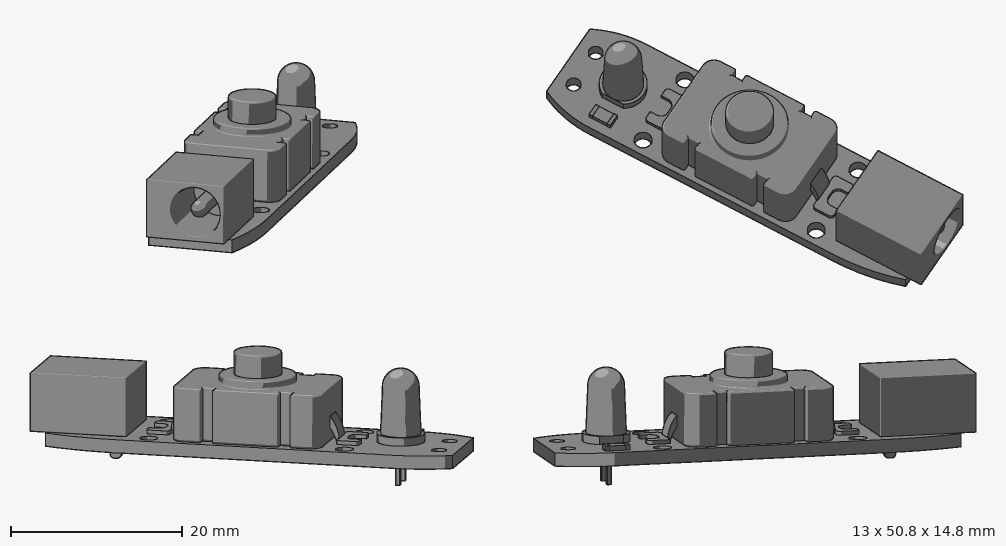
import cadquery as cq
import math


board_width = 13.0
board_thickness = 1.6
rear_y = 25.4
front_y = -23.45
rear_half_width = 4.9
front_half_width = 5.1
rear_taper_length = 6.75
front_taper_length = 9.0
rear_facets = 8
front_facets = 5

strap_hole_diameter = 1.75
strap_hole_x = 2.5
strap_hole_y = 23.15
mount_hole_diameter = 2.1
mount_hole_x = 4.7
mount_hole_ys = (12.4, -11.1)

led_y = 17.95
led_flange_diameter = 5.6
led_flange_bottom = 0.25
led_flange_top = 1.2
led_flat_x = -2.4
led_base_diameter = 4.8
led_dome_diameter = 4.3
led_dome_z = 6.75
lead_width = 0.5
lead_x = 1.2
lead_reach = 3.15

jack_left = -4.8
jack_right = 4.7
jack_front_y = -25.4
jack_length = 11.6
jack_height = 7.0
jack_edge_fillet = 0.1
bore_diameter = 6.0
bore_depth = 9.0
bore_x = 1.2
bore_z = 3.55
contact_diameter = 2.0
contact_recess = 0.6
leg_xs = (-4.05, 1.15, 4.35)
leg_y = -15.15
leg_thickness = 0.6
leg_width = 1.3
leg_reach = 1.05
leg_tip_radius = 0.5

switch_y = 0.75
switch_length = 18.0
switch_width = 11.8
switch_height = 6.4
switch_corner_radius = 1.5
switch_edge_fillet = 0.25
notch_offset = 4.65
notch_width = 1.3
notch_depth = 0.9
notch_lip_radius = 0.25
collar_diameter = 9.0
collar_top = 7.35
collar_fillet = 0.2
button_diameter = 5.6
button_top = 10.05
button_fillet = 0.25

pad_inner = 10.0
pad_length = 2.75
pad_width = 5.05
pad_thickness = 0.45
pad_corner_radius = 0.45
slot_width = 2.5
slot_depth = 1.85
slot_corner_radius = 0.9
arm_width = 2.5
arm_top = 3.05
arm_underside = 1.65
arm_bend_radius = 5.0
arm_foot_length = 0.3
arm_overlap = 0.1

chip_x = -4.5
chip_width = 1.6
chip_length = 2.9
chip_height = 0.6
cap_length = 0.45
cap_overhang = 0.025


def taper_points(taper_length, end_half_width, end_y, facets):
    """Facet corners from the straight side to the end, on an arc tangent to the side."""
    half_width = board_width / 2
    inset = half_width - end_half_width
    radius = (taper_length**2 + inset**2) / (2 * inset)
    sweep = math.asin(taper_length / radius)
    toward_end = math.copysign(1, end_y)
    start_y = end_y - toward_end * taper_length
    points = []
    for i in range(facets + 1):
        angle = sweep * i / facets
        x = half_width - radius * (1 - math.cos(angle))
        points.append((x, start_y + toward_end * radius * math.sin(angle)))
    return points


def make_board():
    front_taper = taper_points(front_taper_length, front_half_width, front_y, front_facets)
    rear_taper = taper_points(rear_taper_length, rear_half_width, rear_y, rear_facets)
    right_side = front_taper[::-1] + rear_taper
    left_side = [(-x, y) for x, y in reversed(right_side)]
    strap_holes = [(side * strap_hole_x, strap_hole_y) for side in (-1, 1)]
    mount_holes = [(side * mount_hole_x, y) for side in (-1, 1) for y in mount_hole_ys]
    return (
        cq.Workplane("XY").polyline(right_side + left_side).close().extrude(-board_thickness)
        .faces(">Z").workplane(origin=(0, 0, 0))
        .pushPoints(strap_holes).hole(strap_hole_diameter)
        .pushPoints(mount_holes).hole(mount_hole_diameter)
    )


def make_led():
    dome_radius = led_dome_diameter / 2
    lens = (
        cq.Workplane("XZ")
        .moveTo(0, led_flange_top)
        .lineTo(led_base_diameter / 2, led_flange_top)
        .lineTo(dome_radius, led_dome_z)
        .radiusArc((0, led_dome_z + dome_radius), -dome_radius)
        .close()
        .revolve(360, (0, 0), (0, 1))
    )
    flange_height = led_flange_top - led_flange_bottom
    flange = (
        cq.Workplane("XY", origin=(0, 0, led_flange_bottom))
        .circle(led_flange_diameter / 2).extrude(flange_height)
    )
    right_of_flat = (
        cq.Workplane("XY", origin=(led_flat_x, 0, led_flange_bottom))
        .rect(2 * led_flange_diameter, 2 * led_flange_diameter).extrude(flange_height)
        .translate((led_flange_diameter, 0, 0))
    )
    lead_length = led_flange_bottom + board_thickness + lead_reach
    leads = (
        cq.Workplane("XY", origin=(0, 0, led_flange_bottom))
        .pushPoints([(-lead_x, 0), (lead_x, 0)])
        .rect(lead_width, lead_width).extrude(-lead_length)
    )
    return lens.union(flange.intersect(right_of_flat)).union(leads).translate((0, led_y, 0))


def make_jack_leg(x):
    length = board_thickness + leg_reach
    return (
        cq.Workplane("XY", origin=(x, leg_y, 0))
        .rect(leg_thickness, leg_width).extrude(-length)
        .faces("<Z").edges("|X").fillet(leg_tip_radius)
    )


def make_jack():
    jack_width = jack_right - jack_left
    housing = (
        cq.Workplane("XY", origin=(jack_left, jack_front_y, 0))
        .box(jack_width, jack_length, jack_height, centered=False)
    )
    bore_axis = cq.Workplane("XZ", origin=(bore_x, jack_front_y, bore_z))
    bore = bore_axis.circle(bore_diameter / 2).extrude(-bore_depth)
    contact_radius = contact_diameter / 2
    contact_length = bore_depth - contact_recess - contact_radius
    contact = (
        bore_axis.workplane(offset=-bore_depth).circle(contact_radius).extrude(contact_length)
        .union(bore_axis.workplane(offset=contact_length - bore_depth).sphere(contact_radius))
    )
    jack = (
        housing.edges().fillet(jack_edge_fillet)
        .cut(bore)
        .faces("<Y").edges("%CIRCLE").fillet(jack_edge_fillet)
        .union(contact)
    )
    for x in leg_xs:
        jack = jack.union(make_jack_leg(x))
    return jack


def make_switch_housing():
    half_width = switch_width / 2
    notch_centers = [
        (x_side * half_width, y_side * notch_offset) for x_side in (-1, 1) for y_side in (-1, 1)
    ]
    notches = (
        cq.Workplane("XY").pushPoints(notch_centers)
        .rect(2 * notch_depth, notch_width).extrude(switch_height)
    )
    lip_points = [
        (x, y + side * notch_width / 2) for x, y in notch_centers for side in (-1, 1)
    ]
    housing = (
        cq.Workplane("XY").rect(switch_width, switch_length).extrude(switch_height)
        .edges("|Z").fillet(switch_corner_radius)
        .cut(notches)
    )
    for x, y in lip_points:
        lip = cq.selectors.NearestToPointSelector((x, y, switch_height / 2))
        housing = housing.edges("|Z").edges(lip).fillet(notch_lip_radius)
    return housing.faces("<Z or >Z").edges().fillet(switch_edge_fillet)


def make_button():
    """Button and its collar, with a concave fillet where the collar meets the switch."""
    collar_radius = collar_diameter / 2
    foot_radius = collar_radius + collar_fillet
    button_radius = button_diameter / 2
    return (
        cq.Workplane("XZ")
        .moveTo(0, switch_height)
        .lineTo(foot_radius, switch_height)
        .radiusArc((collar_radius, switch_height + collar_fillet), collar_fillet)
        .lineTo(collar_radius, collar_top - collar_fillet)
        .radiusArc((collar_radius - collar_fillet, collar_top), -collar_fillet)
        .lineTo(button_radius, collar_top)
        .lineTo(button_radius, button_top - button_fillet)
        .radiusArc((button_radius - button_fillet, button_top), -button_fillet)
        .lineTo(0, button_top)
        .close()
        .revolve(360, (0, 0), (0, 1))
    )


def make_terminal():
    """Terminal on the rear (+Y) side of the switch: a forked pad and a curved arm."""
    face_y = switch_length / 2
    pad_outer = pad_inner + pad_length
    pad = (
        cq.Workplane("XY", origin=(0, pad_inner + pad_length / 2, 0))
        .rect(pad_width, pad_length).extrude(pad_thickness)
        .edges("|Z").fillet(pad_corner_radius)
    )
    slot = (
        cq.Workplane("XY", origin=(0, pad_outer, 0))
        .rect(slot_width, 2 * slot_depth).extrude(pad_thickness)
        .edges("|Z").fillet(slot_corner_radius)
    )
    foot_outer = pad_inner + arm_overlap
    arm = (
        cq.Workplane("YZ")
        .moveTo(face_y, arm_underside)
        .lineTo(face_y, arm_top)
        .radiusArc((foot_outer, pad_thickness), arm_bend_radius)
        .lineTo(foot_outer, 0)
        .lineTo(foot_outer - arm_foot_length, 0)
        .radiusArc((face_y, arm_underside), -arm_bend_radius)
        .close()
        .extrude(arm_width / 2, both=True)
    )
    return pad.cut(slot).union(arm)


def make_switch():
    rear_terminal = make_terminal()
    front_terminal = rear_terminal.mirror("XZ")
    return (
        make_switch_housing().union(make_button())
        .union(rear_terminal).union(front_terminal)
        .translate((0, switch_y, 0))
    )


def make_chip():
    chip = cq.Workplane("XY").box(
        chip_width - 2 * cap_overhang, chip_length, chip_height - cap_overhang,
        centered=(True, True, False),
    )
    for side in (-1, 1):
        cap = cq.Workplane("XY", origin=(0, side * (chip_length - cap_length) / 2, 0)).box(
            chip_width, cap_length, chip_height, centered=(True, True, False)
        )
        chip = chip.union(cap)
    return chip.translate((chip_x, led_y, 0))


led = make_led()
jack = make_jack()
circuit_board = make_board().union(make_switch()).union(make_chip()).cut(led).cut(jack)

result = cq.Compound.makeCompound([body.solids().val() for body in (circuit_board, led, jack)])